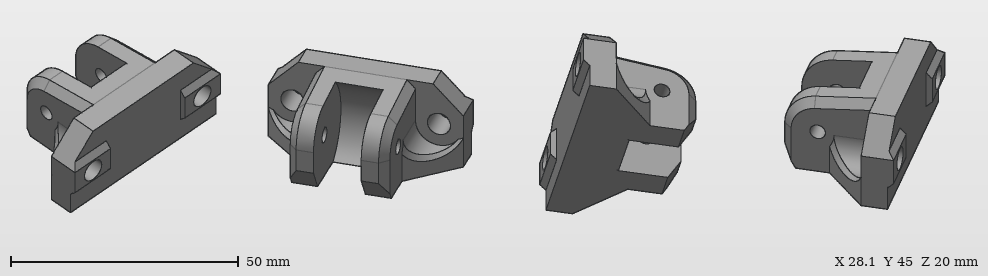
import cadquery as cq
import math


total_depth = 28.1
width = 45.0
height = 20.0
pad_depth = 1.4
plate_thickness = 6.0
corner_cut = 6.98
plate_back = total_depth - pad_depth
plate_front = plate_back - plate_thickness

screw_diameter = 5.3
screw_y = 16.88
screw_z = height / 2

lug_radius = 8.0
pivot_x = lug_radius
pivot_z = 10.35
pivot_diameter = 3.5
block_half_width = 11.48
slot_width = 11.0
slot_radius = 12.0
block_chamfer = 2.0
toe_length = 3.0
toe_height = 5.1

gusset_tip_x = 10.7
clearance_radius = screw_y - block_half_width
clearance_chamfer = 1.0

pad_root_half_height = 4.4
pad_half_height = pad_root_half_height - pad_depth


def plate_slab(x_start, x_end):
    """Plate outline with two cut upper corners, between two X positions."""
    return (
        cq.Workplane("XY")
        .box(x_end - x_start, width, height, centered=(False, True, False))
        .translate((x_start, 0, 0))
        .edges("|X and >Z")
        .chamfer(corner_cut)
    )


def hinge_block():
    """Forked block with a rounded nose and a top sloping up to the plate."""
    run = plate_front - pivot_x
    rise = height - pivot_z
    slope = math.atan2(rise, run) - math.asin(lug_radius / math.hypot(run, rise))
    mid_angle = (math.pi + math.pi / 2 + slope) / 2

    def nose_point(angle):
        return (pivot_x + lug_radius * math.cos(angle), pivot_z + lug_radius * math.sin(angle))

    block = (
        cq.Workplane("XZ")
        .moveTo(0, 0)
        .lineTo(0, pivot_z)
        .threePointArc(nose_point(mid_angle), nose_point(math.pi / 2 + slope))
        .lineTo(plate_front, height)
        .lineTo(plate_front, 0)
        .close()
        .extrude(block_half_width, both=True)
    )
    rims = block.faces("<Y or >Y").edges("not(<Z or >X)")
    block = rims.chamfer(block_chamfer)

    toe = (
        cq.Workplane("XZ")
        .polyline([(0, 0), (toe_length, 0), (0, toe_height)])
        .close()
        .extrude(block_half_width, both=True)
    )
    slot = (
        cq.Workplane("XZ", origin=(pivot_x, 0, pivot_z))
        .circle(slot_radius)
        .extrude(slot_width / 2, both=True)
    )
    pivot_hole = (
        cq.Workplane("XZ", origin=(pivot_x, 0, pivot_z))
        .circle(pivot_diameter / 2)
        .extrude(block_half_width, both=True)
    )
    return block.cut(toe).cut(slot).cut(pivot_hole)


def gusset():
    """Triangular brace on the +Y side, hollowed around the screw axis."""
    reach_x = plate_front - gusset_tip_x
    reach_y = width / 2 - block_half_width
    wedge = (
        cq.Workplane("XY")
        .polyline([
            (gusset_tip_x - reach_x, block_half_width - reach_y),
            (plate_front + reach_x, width / 2 + reach_y),
            (plate_front + reach_x, block_half_width - reach_y),
        ])
        .close()
        .extrude(screw_z)
    )
    hollow = (
        cq.Workplane("YZ", origin=(gusset_tip_x - reach_x, screw_y, screw_z))
        .circle(clearance_radius)
        .extrude(3 * reach_x)
    )
    rim_finder = cq.selectors.BoxSelector(
        (gusset_tip_x, block_half_width, 0),
        (plate_front, width / 2, screw_z),
    )
    wedge = wedge.cut(hollow).edges("not %LINE").edges(rim_finder).chamfer(clearance_chamfer)
    trim = (
        cq.Workplane("XY")
        .box(reach_x, reach_y, height, centered=False)
        .translate((gusset_tip_x, block_half_width, 0))
    )
    return wedge.intersect(trim)


def locating_pad():
    """Raised pad with sloping upper and lower sides behind the +Y screw hole."""
    pad = (
        cq.Workplane("XZ", origin=(0, width / 2, 0))
        .polyline([
            (plate_back, screw_z - pad_root_half_height),
            (total_depth, screw_z - pad_half_height),
            (total_depth, screw_z + pad_half_height),
            (plate_back, screw_z + pad_root_half_height),
        ])
        .close()
        .extrude(width / 2 - block_half_width)
    )
    return pad.intersect(plate_slab(plate_back, total_depth))


result = plate_slab(plate_front, plate_back).union(hinge_block())
for side_feature in (gusset(), locating_pad()):
    result = result.union(side_feature).union(side_feature.mirror("XZ"))

screw_holes = (
    cq.Workplane("YZ", origin=(plate_front, 0, screw_z))
    .pushPoints([(-screw_y, 0), (screw_y, 0)])
    .circle(screw_diameter / 2)
    .extrude(total_depth - plate_front)
)
result = result.cut(screw_holes)